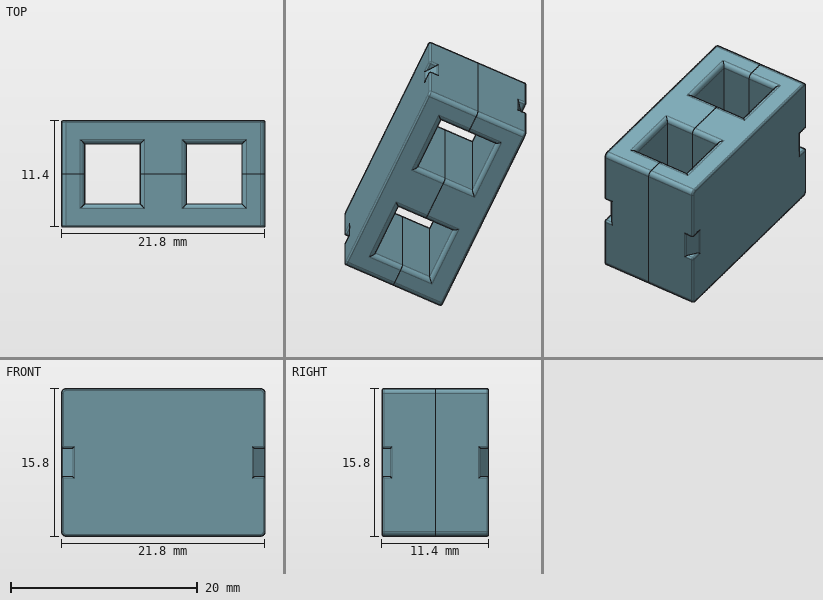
import cadquery as cq

LENGTH = 21.8
DEPTH = 11.4
HEIGHT = 15.8
HALF_DEPTH = DEPTH / 2
OUTER_Y = -HALF_DEPTH

END_RADIUS = 0.5
FACE_RADIUS = 0.2

WINDOW_X = 5.9
WINDOW_Y = 6.4
WINDOW_OFFSET = LENGTH / 4
WINDOW_RIM_RADIUS = 0.5

NOTCH_ALONG_X = 1.3
NOTCH_ALONG_Y = 0.95
NOTCH_HEIGHT = 2.99
NOTCH_RADIUS = FACE_RADIUS

SIDES = (-1, 1)
MARGIN = 0.002


def rounded_block():
    """Plain half block on the -Y side of the split, with its outer edges rounded."""
    block = cq.Workplane("XY").box(LENGTH, HALF_DEPTH, HEIGHT).translate((0, OUTER_Y / 2, 0))
    return block.edges("|Y").fillet(END_RADIUS).faces("<Y").edges().fillet(FACE_RADIUS)


def notch_prism(side):
    """Triangular prism that cuts one vertical outer corner at a slant."""
    corner_x = side * LENGTH / 2
    return (
        cq.Workplane("XY", origin=(0, 0, -NOTCH_HEIGHT / 2))
        .moveTo(corner_x - side * NOTCH_ALONG_X, OUTER_Y)
        .lineTo(corner_x, OUTER_Y)
        .lineTo(corner_x, OUTER_Y + NOTCH_ALONG_Y)
        .close()
        .extrude(NOTCH_HEIGHT)
    )


def is_mouth_edge(edge):
    """False for the two edges at the foot of the slant, which cross the whole notch."""
    box = edge.BoundingBox()
    crosses_x = box.xlen > NOTCH_ALONG_X - MARGIN
    crosses_y = box.ylen > NOTCH_ALONG_Y - MARGIN
    return not (crosses_x and crosses_y)


def cut_notch(half, side):
    """Cut one notch and round the edges of its mouth."""
    notched = half.cut(notch_prism(side))
    corner_x = side * LENGTH / 2
    inner_x = corner_x - side * NOTCH_ALONG_X
    z_end = NOTCH_HEIGHT / 2 + MARGIN
    around_notch = cq.selectors.BoxSelector(
        (min(inner_x, corner_x) - MARGIN, OUTER_Y - MARGIN, -z_end),
        (max(inner_x, corner_x) + MARGIN, OUTER_Y + NOTCH_ALONG_Y + MARGIN, z_end),
        boundingbox=True,
    )
    mouth = [edge for edge in notched.edges(around_notch).vals() if is_mouth_edge(edge)]
    return notched.newObject(mouth).fillet(NOTCH_RADIUS)


def cut_window(half, side):
    """Cut one window, open at the split, and round its rims at the top and bottom."""
    center_x = side * WINDOW_OFFSET
    window = cq.Workplane("XY").box(WINDOW_X, WINDOW_Y, HEIGHT).translate((center_x, 0, 0))
    around_rim = cq.selectors.BoxSelector(
        (center_x - WINDOW_X / 2 - MARGIN, -WINDOW_Y / 2 - MARGIN, -HEIGHT),
        (center_x + WINDOW_X / 2 + MARGIN, -MARGIN, HEIGHT),
    )
    opened = half.cut(window)
    return opened.faces("<Z or >Z").edges(around_rim).fillet(WINDOW_RIM_RADIUS)


def block_half():
    """One complete half, on the -Y side of the split."""
    half = rounded_block()
    for side in SIDES:
        half = cut_notch(half, side)
        half = cut_window(half, side)
    return half


front_half = block_half()
back_half = front_half.mirror("XZ")

result = cq.Compound.makeCompound([front_half.val(), back_half.val()])